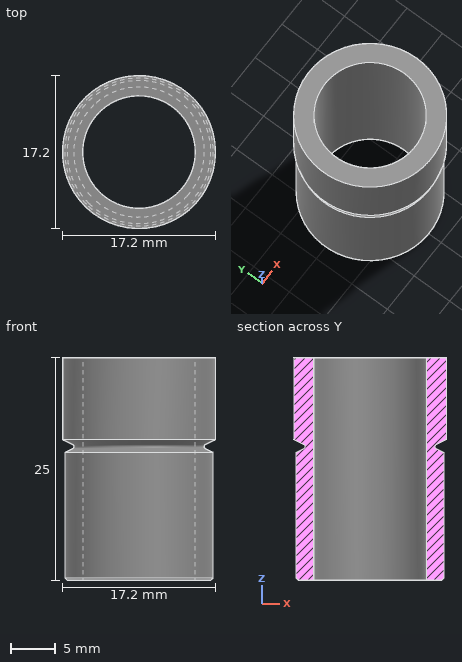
import cadquery as cq
import math

length = 25.0
collar_radius = 8.6
body_radius = 8.32
bore_radius = 6.3
collar_bottom = 15.8
body_top = 14.38
end_chamfer = 0.28
flank_angle = math.radians(26)
groove_fillet = 0.25

flank_slope = math.tan(flank_angle)
apex_radius = (collar_radius + body_radius - (collar_bottom - body_top) / flank_slope) / 2
apex_z = body_top + (body_radius - apex_radius) * flank_slope

fillet_center_radius = apex_radius + groove_fillet / math.sin(flank_angle)


def root_point(angle):
    """Point on the root arc, with the angle measured from its deepest point."""
    return (
        fillet_center_radius - groove_fillet * math.cos(angle),
        apex_z + groove_fillet * math.sin(angle),
    )


half_turn = math.pi / 2 - flank_angle

profile = (
    cq.Workplane("XZ")
    .moveTo(bore_radius, 0)
    .lineTo(body_radius - end_chamfer, 0)
    .lineTo(body_radius, end_chamfer)
    .lineTo(body_radius, body_top)
    .lineTo(*root_point(-half_turn))
    .threePointArc(root_point(-half_turn / 2), root_point(0))
    .threePointArc(root_point(half_turn / 2), root_point(half_turn))
    .lineTo(collar_radius, collar_bottom)
    .lineTo(collar_radius, length)
    .lineTo(bore_radius, length)
    .close()
)

result = profile.revolve(360, (0, 0, 0), (0, 1, 0))